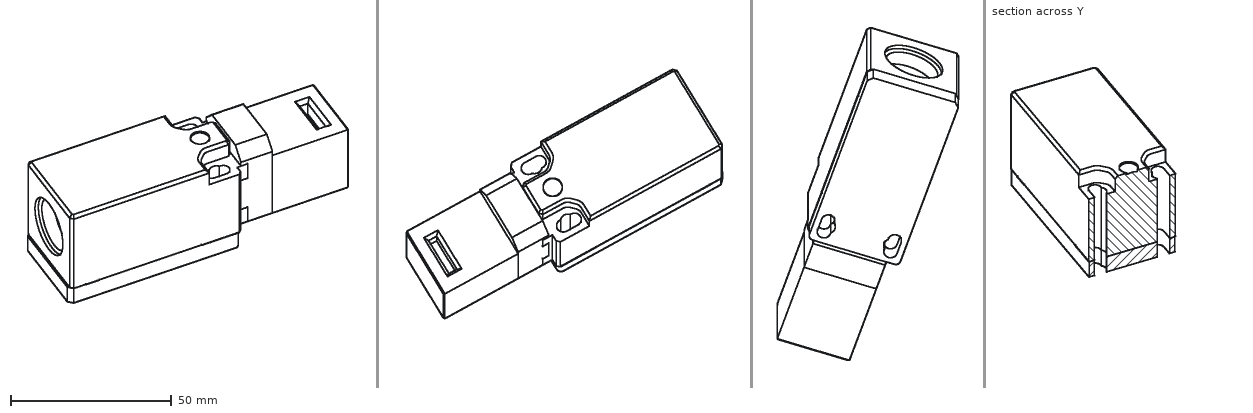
import cadquery as cq

total_length = 99.6

cover_width = 30.0
cover_length = 59.9
cover_height = 6.1
cover_end_chamfer = 1.5
cover_corner_radius = 1.6

housing_width = 30.3
housing_front = 0.5
housing_back = 60.5
housing_top = 36.1
housing_chamfer = 1.0

relief_depth = 0.2
relief_spans = [(housing_front, 5.7), (10.5, 46.3)]

ledge_top = 30.3
ledge_start = 49.0
tongue_width = 12.0
tongue_back = 61.5
ledge_corner_leg = 3.0
ledge_corner_radius = 2.8

slot_offset = 11.0
slot_center = 54.0
slot_width = 4.2
slot_length = 8.3
bulge_offset = 10.4
bulge_diameter = 4.6

entry_height = 20.5
entry_diameter = 19.0
bore_diameter = 17.0
entry_depth = 1.2
entry_taper_depth = 0.7
bore_depth = 6.3

dome_center = 53.5
dome_recess_diameter = 6.0
dome_rim_depth = 0.6
dome_peak = 36.4

head_size = 23.8
head_bottom = 6.3
head_top = ledge_top
neck_back = 61.8
tab_back = 64.0
tab_height = 6.0

collar_back = 72.8
collar_top = housing_top
collar_chamfer_width = 3.9
collar_chamfer_height = 4.2

head_end_chamfer = 0.4
key_slot_length = 14.7
key_slot_width = 5.1
key_slot_center = 93.1
key_slot_taper = 1.1
key_slot_taper_depth = 1.5
key_slot_depth = 6.0


def block(width, y_start, y_end, z_bottom, z_top):
    """Box centred on X = 0 between the given Y and Z limits."""
    size = (width, y_end - y_start, z_top - z_bottom)
    return cq.Workplane("XY").box(*size, centered=(True, False, False)).translate((0, y_start, z_bottom))


def make_cover():
    cover = block(cover_width, 0, cover_length, 0, cover_height)
    cover = cover.edges("|Z and <Y").chamfer(cover_end_chamfer)
    cover = cover.edges("|Z and >Y").fillet(cover_corner_radius)
    return cut_mounting_holes(cover)


def raised_deck():
    """Upper part of the housing: full width at the cable end, narrowing to the tongue."""
    half_width = housing_width / 2
    half_tongue = tongue_width / 2
    deck = (
        cq.Workplane("XY", origin=(0, 0, ledge_top))
        .moveTo(-half_width, housing_front)
        .lineTo(half_width, housing_front)
        .lineTo(half_width, ledge_start)
        .lineTo(half_tongue + ledge_corner_leg, ledge_start)
        .lineTo(half_tongue, ledge_start + ledge_corner_leg)
        .lineTo(half_tongue, tongue_back)
        .lineTo(-half_tongue, tongue_back)
        .lineTo(-half_tongue, ledge_start + ledge_corner_leg)
        .lineTo(-half_tongue - ledge_corner_leg, ledge_start)
        .lineTo(-half_width, ledge_start)
        .close()
        .extrude(housing_top - ledge_top)
    )
    deck = deck.edges("|Z and (<Y or >Y)").chamfer(housing_chamfer)
    ledge_corner_box = cq.selectors.BoxSelector(
        (-half_width + housing_chamfer, ledge_start - housing_chamfer, ledge_top),
        (half_width - housing_chamfer, ledge_start + ledge_corner_leg + housing_chamfer, housing_top),
    )
    deck = deck.edges("|Z").edges(ledge_corner_box).fillet(ledge_corner_radius)
    return deck.faces(">Z").edges().chamfer(housing_chamfer)


def neck():
    """Square stub that meets the collar, with a tab along its top and bottom edges."""
    stub = block(head_size, housing_back - housing_chamfer, neck_back, head_bottom, head_top)
    return stub.union(neck_tabs())


def neck_tabs():
    lower = block(head_size, neck_back, tab_back, head_bottom, head_bottom + tab_height)
    upper = block(head_size, neck_back, tab_back, head_top - tab_height, head_top)
    return lower.union(upper)


def mounting_hole(side):
    """Cutter for the mounting hole at the given side (-1 or +1 in X)."""
    base = cq.Workplane("XY", origin=(0, slot_center, 0))
    slot = base.center(side * slot_offset, 0).slot2D(slot_length, slot_width, 90).extrude(ledge_top)
    bulge = base.center(side * bulge_offset, 0).circle(bulge_diameter / 2).extrude(ledge_top)
    return slot.union(bulge)


def cut_mounting_holes(body):
    for side in (-1, 1):
        body = body.cut(mounting_hole(side))
    return body


def cable_entry():
    """Cutter turned about the entry axis: counterbore, taper and blind bore."""
    entry_radius = entry_diameter / 2
    bore_radius = bore_diameter / 2
    profile = [
        (0, 0),
        (entry_radius, 0),
        (entry_radius, entry_depth),
        (bore_radius, entry_depth + entry_taper_depth),
        (bore_radius, bore_depth),
        (0, bore_depth),
    ]
    cutter = cq.Workplane("XY").polyline(profile).close().revolve(360, (0, 0, 0), (0, 1, 0))
    return cutter.translate((0, housing_front, entry_height))


def dome_recess():
    recess = cq.Workplane("XY", origin=(0, dome_center, housing_top - dome_rim_depth))
    return recess.circle(dome_recess_diameter / 2).extrude(dome_rim_depth)


def dome():
    """Domed indicator whose rim lies at the floor of the recess."""
    rim_radius = dome_recess_diameter / 2
    rise = dome_peak - (housing_top - dome_rim_depth)
    sphere_radius = (rim_radius**2 + rise**2) / (2 * rise)
    cap = (
        cq.Workplane("XZ")
        .lineTo(rim_radius, 0)
        .radiusArc((0, rise), -sphere_radius)
        .close()
        .revolve(360, (0, 0, 0), (0, 1, 0))
    )
    return cap.translate((0, dome_center, housing_top - dome_rim_depth))


def make_housing():
    lower = block(housing_width, housing_front, housing_back, cover_height, ledge_top)
    lower = lower.edges("|Z").chamfer(housing_chamfer)
    housing = cut_mounting_holes(lower.union(raised_deck()).union(neck()))
    for start, end in relief_spans:
        housing = housing.cut(block(housing_width, start, end, cover_height, cover_height + relief_depth))
    return housing.cut(cable_entry()).cut(dome_recess()).union(dome())


def make_collar():
    half_width = head_size / 2
    half_top = half_width - collar_chamfer_width
    chamfer_start = collar_top - collar_chamfer_height
    outline = [
        (-half_width, head_bottom),
        (half_width, head_bottom),
        (half_width, chamfer_start),
        (half_top, collar_top),
        (-half_top, collar_top),
        (-half_width, chamfer_start),
    ]
    collar = cq.Workplane("XZ", origin=(0, neck_back, 0)).polyline(outline).close()
    collar = collar.extrude(neck_back - collar_back)
    return collar.cut(neck_tabs())


def key_slot():
    """Cutter for the actuator slot: a tapered lead-in above a straight pocket."""
    pocket_length = key_slot_length - 2 * key_slot_taper
    pocket_width = key_slot_width - 2 * key_slot_taper
    mouth = cq.Workplane("XY", origin=(0, key_slot_center, head_top))
    lead_in = (
        mouth.rect(key_slot_length, key_slot_width)
        .workplane(offset=-key_slot_taper_depth)
        .rect(pocket_length, pocket_width)
        .loft(ruled=True)
    )
    return lead_in.union(mouth.rect(pocket_length, pocket_width).extrude(-key_slot_depth))


def make_head():
    head = block(head_size, collar_back, total_length, head_bottom, head_top)
    head = head.faces(">Y").edges().chamfer(head_end_chamfer)
    return head.cut(key_slot())


cover = make_cover()
housing = make_housing()
collar = make_collar()
head = make_head()

result = cq.Compound.makeCompound([cover.val(), housing.val(), collar.val(), head.val()])